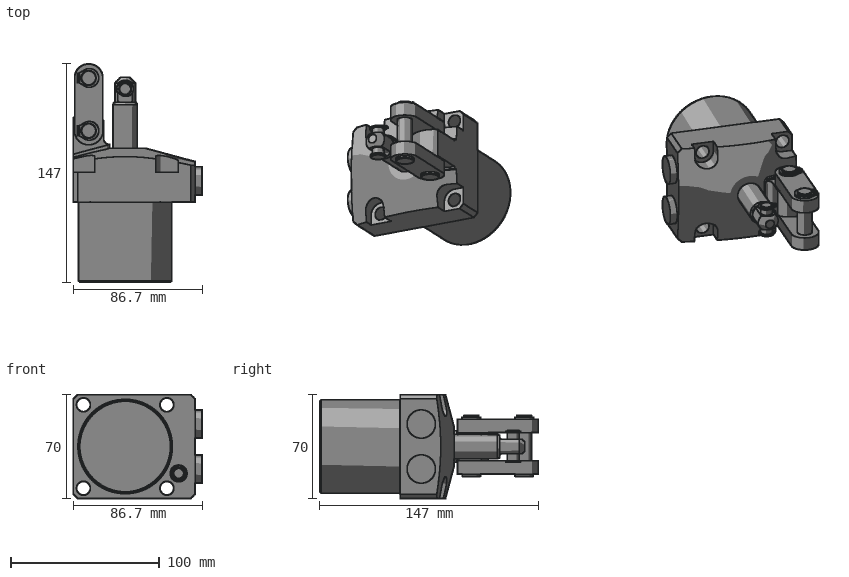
import cadquery as cq
import math


FLANGE_LEFT = -35.0
FLANGE_RIGHT = 47.0
FLANGE_HALF_HEIGHT = 35.0
FLANGE_DEPTH = 36.3
FLANGE_CORNER_CHAMFER = 3.0
CONE_FLAT_RADIUS = 13.7
CONE_ANGLE = 15.0

BARREL_DIAMETER = 63.0
BARREL_LENGTH = 54.0
BARREL_CHAMFER = 1.0
BARREL_ROOT_CHAMFER = 0.3

BOLT_OFFSET = 28.1
BOLT_HOLE_DIAMETER = 9.1
SPOT_FACE_RADIUS = 7.6
SPOT_FACE_Y = 20.1

BOSS_DIAMETER = 19.1
OVERALL_WIDTH = 86.7
BOSS_LENGTH = OVERALL_WIDTH - (FLANGE_RIGHT - FLANGE_LEFT)
BOSS_Y = 14.3
BOSS_Z = 15.1

SEAL_X = 36.0
SEAL_Z = -18.1
SEAL_RECESS_DEPTH = 0.6
SEAL_OUTER_DIAMETER = 11.3
SEAL_INNER_DIAMETER = 6.8
SEAL_BEVEL = 0.6

LUG_RIGHT = -14.4
LUG_HALF_THICKNESS = 9.4
LUG_LEFT_TOP_Y = 56.6
LUG_RIGHT_TOP_Y = 54.7
LUG_CREST_X = -25.7
LUG_CREST_Y = 59.5
LUG_FILLET = 3.7
PAD_RIGHT = -10.3
PAD_HALF_THICKNESS = 10.7
PAD_LEFT_Y = 32.2
PAD_CORNER_RADIUS = 4.1

ROD_DIAMETER = 16.5
ROD_SHOULDER_Y = 67.2
ROD_BEVEL_LENGTH = 1.6
ROD_BEVEL_DEPTH = 0.7
NECK_DIAMETER = 14.0
NECK_TOP_Y = 84.1
NECK_CHAMFER = 4.0
NECK_FLAT_Z = 5.0
NECK_FLAT_FILLET = 1.0

LINK_CENTER_X = -24.5
LINK_WIDTH = 19.0
LINK_BOTTOM_Y = 38.5
OVERALL_LENGTH = 147.0
LINK_LENGTH = OVERALL_LENGTH - BARREL_LENGTH - LINK_BOTTOM_Y
LINK_END_RISE = 7.8
LINK_THICKNESS = 9.1

PIN_END_CHAMFER = 0.3
PIN_HEAD_CHAMFER = 0.5
RING_SHIFT = 0.5

LINK_PIN_SPACING = 35.6
LINK_PIN_DIAMETER = 10.0
LINK_PIN_GRIP = LUG_HALF_THICKNESS + LINK_THICKNESS
LINK_PIN_END = 2.6
LINK_PIN_HEAD_DIAMETER = 12.5
LINK_PIN_HEAD_THICKNESS = 1.8
LINK_RING_DIAMETER = 12.6
LINK_RING_THICKNESS = 1.3
LINK_RING_EAR_REACH = 7.8
LINK_RING_EAR_LENGTH = 2.6
LINK_RING_EAR_SPAN = 6.5
LINK_RING_EAR_GAP = 0.6
LINK_RING_EAR_HOLE = 1.2

ROD_PIN_Y = 76.1
ROD_PIN_DIAMETER = 8.1
ROD_PIN_GRIP = LUG_HALF_THICKNESS
ROD_PIN_END = 1.5
ROD_PIN_HEAD_DIAMETER = 10.3
ROD_PIN_HEAD_THICKNESS = 1.3
ROD_RING_DIAMETER = 10.1
ROD_RING_THICKNESS = 0.9
ROD_RING_EAR_REACH = 6.9
ROD_RING_EAR_LENGTH = 2.0
ROD_RING_EAR_SPAN = 3.5
ROD_RING_EAR_GAP = 0.5
ROD_RING_EAR_HOLE = 0.7


def box(x_range, y_range, z_range):
    """Axis-aligned block between the given limits."""
    sizes = [high - low for low, high in (x_range, y_range, z_range)]
    corner = (x_range[0], y_range[0], z_range[0])
    return cq.Workplane("XY").box(*sizes, centered=False).translate(corner)


def y_cylinder(diameter, y_start, length, x=0.0, z=0.0):
    """Cylinder along +Y from y_start."""
    plane = cq.Workplane("XZ", origin=(x, y_start, z))
    return plane.circle(diameter / 2).extrude(-length)


def z_cylinder(diameter, x, y, z_start, length):
    """Cylinder along +Z from z_start."""
    return cq.Workplane("XY", origin=(x, y, z_start)).circle(diameter / 2).extrude(length)


def make_flange():
    """Chamfered block whose back is turned to a shallow cone with a flat top."""
    height = 2 * FLANGE_HALF_HEIGHT
    block = box(
        (FLANGE_LEFT, FLANGE_RIGHT),
        (0, FLANGE_DEPTH),
        (-FLANGE_HALF_HEIGHT, FLANGE_HALF_HEIGHT),
    )
    block = block.edges("|Y").chamfer(FLANGE_CORNER_CHAMFER)
    reach = math.hypot(FLANGE_RIGHT, height)
    drop = (reach - CONE_FLAT_RADIUS) * math.tan(math.radians(CONE_ANGLE))
    crown = (
        cq.Workplane("XY")
        .polyline(
            [
                (0, 0),
                (reach, 0),
                (reach, FLANGE_DEPTH - drop),
                (CONE_FLAT_RADIUS, FLANGE_DEPTH),
                (0, FLANGE_DEPTH),
            ]
        )
        .close()
        .revolve(360, (0, 0), (0, 1))
    )
    return block.intersect(crown)


def make_foot_block():
    """Envelope of the lug and the pad, with its two +X corners rounded."""
    block = box(
        (FLANGE_LEFT, PAD_RIGHT),
        (SPOT_FACE_Y, LUG_CREST_Y),
        (-PAD_HALF_THICKNESS, PAD_HALF_THICKNESS),
    )
    return block.edges("|Y and >X").fillet(PAD_CORNER_RADIUS)


def make_pad():
    """Pad round the foot of the lug, sloped like the cone beside it."""
    rise = (PAD_RIGHT - FLANGE_LEFT) * math.tan(math.radians(CONE_ANGLE))
    profile = (
        cq.Workplane("XY")
        .polyline(
            [
                (FLANGE_LEFT, SPOT_FACE_Y),
                (PAD_RIGHT, SPOT_FACE_Y),
                (PAD_RIGHT, PAD_LEFT_Y + rise),
                (FLANGE_LEFT, PAD_LEFT_Y),
            ]
        )
        .close()
        .extrude(PAD_HALF_THICKNESS, both=True)
    )
    return profile.intersect(make_foot_block())


def make_lug():
    """Lug between the links, with a crowned end and a filleted foot on +X."""
    slope = math.tan(math.radians(CONE_ANGLE))
    foot_y = PAD_LEFT_Y + (LUG_RIGHT - FLANGE_LEFT) * slope
    center_x = LUG_RIGHT + LUG_FILLET
    center_y = foot_y + LUG_FILLET * slope + LUG_FILLET / math.cos(math.radians(CONE_ANGLE))
    end_angle = math.radians(270 + CONE_ANGLE)
    mid_angle = (math.pi + end_angle) / 2

    def on_fillet(angle):
        return (center_x + LUG_FILLET * math.cos(angle), center_y + LUG_FILLET * math.sin(angle))

    end_x, end_y = on_fillet(end_angle)
    profile = (
        cq.Workplane("XY")
        .moveTo(FLANGE_LEFT, SPOT_FACE_Y)
        .lineTo(FLANGE_LEFT, LUG_LEFT_TOP_Y)
        .threePointArc((LUG_CREST_X, LUG_CREST_Y), (LUG_RIGHT, LUG_RIGHT_TOP_Y))
        .lineTo(LUG_RIGHT, center_y)
        .threePointArc(on_fillet(mid_angle), (end_x, end_y))
        .lineTo(end_x, SPOT_FACE_Y)
        .close()
        .extrude(LUG_HALF_THICKNESS, both=True)
    )
    return profile.intersect(make_foot_block())


def make_spot_face(x, side):
    """Recess round a bolt hole, open to the +Z or -Z edge, and to the -X edge for the left holes."""
    radius = SPOT_FACE_RADIUS
    y_range = (SPOT_FACE_Y, FLANGE_DEPTH)
    z_inner = BOLT_OFFSET
    round_end = y_cylinder(2 * radius, SPOT_FACE_Y, FLANGE_DEPTH - SPOT_FACE_Y, x, z_inner)
    slot = box((x - radius, x + radius), y_range, (z_inner, z_inner + radius))
    recess = round_end.union(slot)
    if x < 0:
        recess = recess.union(box((x - radius, x), y_range, (z_inner - radius, z_inner + radius)))
    return recess if side > 0 else recess.mirror("XY")


def cut_mounting_holes(body):
    for x in (-BOLT_OFFSET, BOLT_OFFSET):
        for side in (-1, 1):
            hole = y_cylinder(BOLT_HOLE_DIAMETER, 0, FLANGE_DEPTH, x, side * BOLT_OFFSET)
            body = body.cut(hole).cut(make_spot_face(x, side))
    return body


def make_ring(diameter, thickness, ear_reach, ear_length, ear_span, ear_gap, ear_hole):
    """Retaining ring round the Z axis, wider on +X, with two drilled ears on -X."""
    ear_half = ear_span / 2
    ring = cq.Workplane("XY").center(RING_SHIFT, 0).circle(diameter / 2).extrude(thickness)
    hole_x = ear_length / 2 - ear_reach
    root_x = hole_x / 2
    root_y = math.sqrt((diameter / 2) ** 2 - (root_x - RING_SHIFT) ** 2)
    ears = (
        cq.Workplane("XY")
        .polyline(
            [
                (root_x, -root_y),
                (hole_x, -ear_half),
                (-ear_reach, -ear_half),
                (-ear_reach, ear_half),
                (hole_x, ear_half),
                (root_x, root_y),
            ]
        )
        .close()
        .extrude(thickness)
    )
    slit = box((-ear_reach, 0), (-ear_gap / 2, ear_gap / 2), (0, thickness))
    ring = ring.union(ears).cut(slit)
    hole_y = (ear_half + ear_gap / 2) / 2
    for side in (-1, 1):
        ring = ring.cut(z_cylinder(ear_hole, hole_x, side * hole_y, 0, thickness))
    return ring


def make_pin(x, y, diameter, grip, end, head_diameter, head_thickness, ring):
    """Headed pin along Z; the grip is the half length between the head and the ring."""
    shank = z_cylinder(diameter, 0, 0, -grip, 2 * grip + end)
    shank = shank.faces(">Z").chamfer(PIN_END_CHAMFER)
    head = z_cylinder(head_diameter, 0, 0, -grip - head_thickness, head_thickness)
    head = head.faces("<Z").chamfer(PIN_HEAD_CHAMFER)
    pin = shank.union(head).union(ring.translate((0, 0, grip)))
    return pin.translate((x, y, 0))


def make_link_pin(y):
    ring = make_ring(
        LINK_RING_DIAMETER,
        LINK_RING_THICKNESS,
        LINK_RING_EAR_REACH,
        LINK_RING_EAR_LENGTH,
        LINK_RING_EAR_SPAN,
        LINK_RING_EAR_GAP,
        LINK_RING_EAR_HOLE,
    )
    return make_pin(
        LINK_CENTER_X,
        y,
        LINK_PIN_DIAMETER,
        LINK_PIN_GRIP,
        LINK_PIN_END,
        LINK_PIN_HEAD_DIAMETER,
        LINK_PIN_HEAD_THICKNESS,
        ring,
    )


def make_rod_pin():
    ring = make_ring(
        ROD_RING_DIAMETER,
        ROD_RING_THICKNESS,
        ROD_RING_EAR_REACH,
        ROD_RING_EAR_LENGTH,
        ROD_RING_EAR_SPAN,
        ROD_RING_EAR_GAP,
        ROD_RING_EAR_HOLE,
    )
    return make_pin(
        0,
        ROD_PIN_Y,
        ROD_PIN_DIAMETER,
        ROD_PIN_GRIP,
        ROD_PIN_END,
        ROD_PIN_HEAD_DIAMETER,
        ROD_PIN_HEAD_THICKNESS,
        ring,
    )


def make_rod():
    """Piston rod that rises from the flange, with its stepped neck and two flats."""
    radius = ROD_DIAMETER / 2
    neck = NECK_DIAMETER / 2
    rod = (
        cq.Workplane("XY")
        .polyline(
            [
                (0, FLANGE_DEPTH),
                (radius, FLANGE_DEPTH),
                (radius, ROD_SHOULDER_Y - ROD_BEVEL_LENGTH),
                (radius - ROD_BEVEL_DEPTH, ROD_SHOULDER_Y),
                (neck, ROD_SHOULDER_Y),
                (neck, NECK_TOP_Y - NECK_CHAMFER),
                (neck - NECK_CHAMFER, NECK_TOP_Y),
                (0, NECK_TOP_Y),
            ]
        )
        .close()
        .revolve(360, (0, 0), (0, 1))
    )
    for side in (-1, 1):
        flat = box((-neck, neck), (ROD_SHOULDER_Y, NECK_TOP_Y), (NECK_FLAT_Z, neck))
        flat = flat.edges("|X and <Y and <Z").fillet(NECK_FLAT_FILLET)
        rod = rod.cut(flat if side > 0 else flat.mirror("XY"))
    return rod


def make_barrel():
    barrel = y_cylinder(BARREL_DIAMETER, -BARREL_LENGTH, BARREL_LENGTH)
    barrel = barrel.faces("<Y").chamfer(BARREL_CHAMFER)
    radius = BARREL_DIAMETER / 2
    root = (
        cq.Workplane("XY")
        .polyline(
            [
                (0, 0),
                (0, -BARREL_ROOT_CHAMFER),
                (radius, -BARREL_ROOT_CHAMFER),
                (radius + BARREL_ROOT_CHAMFER, 0),
            ]
        )
        .close()
        .revolve(360, (0, 0), (0, 1))
    )
    return barrel.union(root)


def add_seal(body):
    """Recess in the mounting face with a bevelled sealing bead flush with the face."""
    recess = y_cylinder(SEAL_OUTER_DIAMETER, 0, SEAL_RECESS_DEPTH, SEAL_X, SEAL_Z)
    outer = SEAL_OUTER_DIAMETER / 2
    inner = SEAL_INNER_DIAMETER / 2
    bead = (
        cq.Workplane("XY")
        .polyline(
            [
                (inner, SEAL_RECESS_DEPTH),
                (outer, SEAL_RECESS_DEPTH),
                (outer - SEAL_BEVEL, 0),
                (inner + SEAL_BEVEL, 0),
            ]
        )
        .close()
        .revolve(360, (0, 0), (0, 1))
        .translate((SEAL_X, 0, SEAL_Z))
    )
    return body.cut(recess).union(bead)


def make_housing():
    """Flange, barrel, lug, port bosses, and the piston rod with its cross pin, as one body."""
    body = cut_mounting_holes(make_flange())
    body = body.union(make_barrel()).union(make_pad()).union(make_lug())
    for z in (-BOSS_Z, BOSS_Z):
        plane = cq.Workplane("YZ", origin=(FLANGE_RIGHT, BOSS_Y, z))
        body = body.union(plane.circle(BOSS_DIAMETER / 2).extrude(BOSS_LENGTH))
    return add_seal(body).union(make_rod()).union(make_rod_pin())


def make_link(side):
    half = LINK_WIDTH / 2
    low = LINK_BOTTOM_Y
    high = LINK_BOTTOM_Y + LINK_LENGTH
    link = (
        cq.Workplane("XY", origin=(LINK_CENTER_X, 0, LUG_HALF_THICKNESS))
        .moveTo(-half, low + LINK_END_RISE)
        .threePointArc((0, low), (half, low + LINK_END_RISE))
        .lineTo(half, high - LINK_END_RISE)
        .threePointArc((0, high), (-half, high - LINK_END_RISE))
        .close()
        .extrude(LINK_THICKNESS)
    )
    return link if side > 0 else link.mirror("XY")


def link_pin_hole(y):
    """Straight bore for the shank of a link pin."""
    length = 2 * LINK_PIN_GRIP
    return z_cylinder(LINK_PIN_DIAMETER, LINK_CENTER_X, y, -LINK_PIN_GRIP, length)


link_middle_y = LINK_BOTTOM_Y + LINK_LENGTH / 2
link_pin_places = [link_middle_y - LINK_PIN_SPACING / 2, link_middle_y + LINK_PIN_SPACING / 2]

housing = make_housing()
links = [make_link(side) for side in (-1, 1)]
link_pins = [make_link_pin(y) for y in link_pin_places]

for pin_y in link_pin_places:
    links = [link.cut(link_pin_hole(pin_y)) for link in links]
housing = housing.cut(link_pin_hole(link_pin_places[0]))

result = cq.Compound.makeCompound(
    [
        housing.val(),
        *[link.val() for link in links],
        *[pin.val() for pin in link_pins],
    ]
)